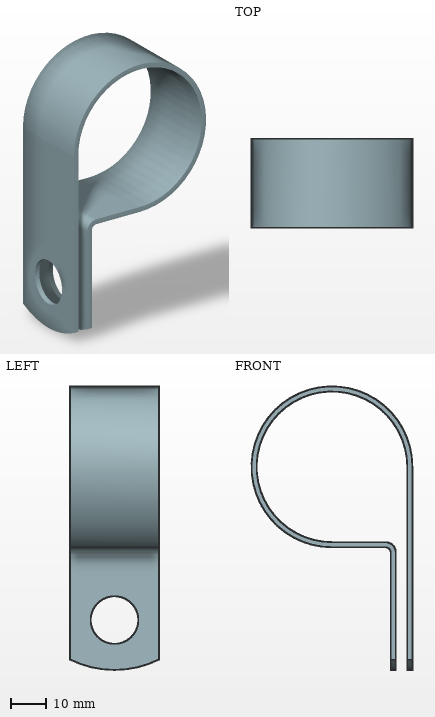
import cadquery as cq
import math

width = 25.4
thickness = 1.52
overall_height = 80.86

outer_radius = 22.95
inner_radius = outer_radius - thickness

leg_gap = 3.2
leg_bottom = outer_radius - overall_height
long_outer_x = outer_radius
long_inner_x = inner_radius
short_outer_x = long_inner_x - leg_gap
short_inner_x = short_outer_x - thickness

bend_inner_radius = thickness
bend_outer_radius = bend_inner_radius + thickness
bend_x = short_outer_x - bend_outer_radius
bend_z = -inner_radius - bend_outer_radius

hole_diameter = 13.5
hole_height = 14.25
end_arc_drop = 3.0


def loop_point(radius):
    """Middle of the three-quarter loop, at its upper left."""
    return (-radius * math.cos(math.pi / 4), radius * math.sin(math.pi / 4))


def strap_profile():
    """Side outline of the bent strap, in the XZ plane."""
    outline = cq.Workplane("XZ", origin=(0, width / 2, 0)).moveTo(long_outer_x, leg_bottom)
    outline = outline.lineTo(long_outer_x, 0)
    outline = outline.threePointArc(loop_point(outer_radius), (0, -outer_radius))
    outline = outline.lineTo(bend_x, -outer_radius)
    outline = outline.radiusArc((short_inner_x, bend_z), bend_inner_radius)
    outline = outline.lineTo(short_inner_x, leg_bottom)
    outline = outline.lineTo(short_outer_x, leg_bottom)
    outline = outline.lineTo(short_outer_x, bend_z)
    outline = outline.radiusArc((bend_x, -inner_radius), -bend_outer_radius)
    outline = outline.lineTo(0, -inner_radius)
    outline = outline.threePointArc(loop_point(inner_radius), (long_inner_x, 0))
    outline = outline.lineTo(long_inner_x, leg_bottom)
    return outline.close()


def strap_silhouette():
    """Block along X with the face shape of the strap: square top, arched bottom."""
    half_width = width / 2
    corner_z = leg_bottom + end_arc_drop
    return (
        cq.Workplane("YZ", origin=(-outer_radius, 0, 0))
        .moveTo(-half_width, outer_radius)
        .lineTo(-half_width, corner_z)
        .threePointArc((0, leg_bottom), (half_width, corner_z))
        .lineTo(half_width, outer_radius)
        .close()
        .extrude(2 * outer_radius)
    )


def bolt_hole():
    """Cylinder along X, from the loop axis out through both legs."""
    return (
        cq.Workplane("YZ")
        .center(0, leg_bottom + hole_height)
        .circle(hole_diameter / 2)
        .extrude(outer_radius)
    )


strap = strap_profile().extrude(width)
result = strap.intersect(strap_silhouette()).cut(bolt_hole())